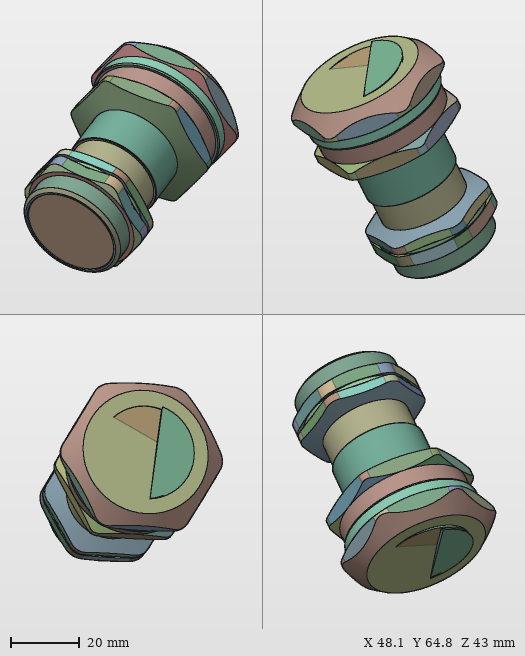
import cadquery as cq
import math


chamfer_end_y = 1.0
locknut_y = 6.5
seal_y = 10.0
locknut_dish_y = 10.45
sealing_nut_y = 12.0
nut_neck_y = 16.5
sleeve_y = 25.6
body_cone_y = 38.5
body_hex_end_y = 45.45
collar_y = 51.2
dome_nut_y = 54.75
dome_end_y = 63.0

thread_dia = 32.0
thread_tip_dia = 29.8
bore_mouth_dia = 28.6
bore_floor_dia = 28.2
bore_depth = 0.3
neck_dia = 27.0
sleeve_dia = 28.6
body_dia = 40.0
collar_dia = 42.0
seal_dia = 34.4
dome_end_dia = 37.2
seal_rounding = 0.6
sleeve_chamfer = 0.2
collar_chamfer_length = 0.55
collar_chamfer_depth = 0.25

small_hex_flats = 35.0
locknut_rounding = 5.3
sealing_nut_rounding = 5.0
locknut_face_dia = 34.8
body_hex_flats = 40.0
body_hex_rounding = 3.0
dome_hex_flats = 43.0
dome_hex_rounding = 5.0

shallow_slope = math.tan(math.radians(20))
nut_slope = math.tan(math.radians(30))
dome_slope = math.tan(math.radians(45))

flap_rim_radius = 14.2
flap_root_radius = 13.0
flap_height = 1.2
flap_base_radius = 13.7
flap_base_depth = 1.0
flap_centre_y = 63.92
flap_tilt_x = -3.25
flap_tilt_z = -1.7
flap_cut_x = -3.0
flap_cut_angle = 7.0


def cylinder(dia, y_start, y_end):
    """Solid cylinder on the Y axis."""
    length = y_end - y_start
    return cq.Workplane("XZ", origin=(0, y_start, 0)).circle(dia / 2).extrude(-length)


def revolved(profile):
    """Revolve (radius, y) points about the Y axis."""
    return cq.Workplane("XY").polyline(profile).close().revolve(360, (0, 0, 0), (0, 1, 0))


def corner_radius(flats, rounding):
    """Radius that the rounded corners of a hexagon reach."""
    return (flats / 2 - rounding) / math.cos(math.radians(30)) + rounding


def hexagon(flats, rounding, y_start, y_end):
    """Hexagonal prism with rounded corners and two flats facing +Z and -Z."""
    prism = cq.Workplane("XZ", origin=(0, y_start, 0)).polygon(6, flats, circumscribed=True)
    prism = prism.extrude(y_start - y_end).edges("|Y").fillet(rounding)
    return prism.rotate((0, 0, 0), (0, 1, 0), 30)


def cone_ended_hexagon(flats, rounding, y_start, y_end, start_cone, end_cone):
    """Hexagon trimmed at each end by a cone, given as (radius at the end face, slope).

    A slope of zero leaves the end flat; a negative slope makes it dished.
    """
    corner = corner_radius(flats, rounding)
    start_radius, start_slope = start_cone
    end_radius, end_slope = end_cone
    start_corner_y = y_start + (corner - start_radius) * start_slope
    end_corner_y = y_end - (corner - end_radius) * end_slope
    envelope = revolved([
        (0, y_start),
        (start_radius, y_start),
        (corner, start_corner_y),
        (corner, end_corner_y),
        (end_radius, y_end),
        (0, y_end),
    ])
    prism = hexagon(flats, rounding, min(y_start, start_corner_y), max(y_end, end_corner_y))
    return prism.intersect(envelope)


def threaded_end():
    tip = revolved([
        (0, 0),
        (thread_tip_dia / 2, 0),
        (thread_dia / 2, chamfer_end_y),
        (thread_dia / 2, sealing_nut_y),
        (0, sealing_nut_y),
    ])
    bore = revolved([
        (0, 0),
        (bore_mouth_dia / 2, 0),
        (bore_floor_dia / 2, bore_depth),
        (0, bore_depth),
    ])
    return tip.cut(bore)


def locknut():
    return cone_ended_hexagon(
        small_hex_flats, locknut_rounding, locknut_y, locknut_dish_y,
        (locknut_face_dia / 2, nut_slope), (seal_dia / 2, -shallow_slope),
    )


def seal_ring():
    ring = cylinder(seal_dia, seal_y, sealing_nut_y)
    return ring.faces("<Y").edges().fillet(seal_rounding)


def sealing_nut():
    flat_end = (small_hex_flats / 2, 0)
    return cone_ended_hexagon(
        small_hex_flats, sealing_nut_rounding, sealing_nut_y, nut_neck_y,
        flat_end, (neck_dia / 2, shallow_slope),
    )


def body():
    neck = cylinder(neck_dia, nut_neck_y, sleeve_y)
    sleeve = cylinder(sleeve_dia, sleeve_y, body_cone_y).faces("<Y").chamfer(sleeve_chamfer)
    hex_section = cone_ended_hexagon(
        body_hex_flats, body_hex_rounding, body_cone_y, body_hex_end_y,
        (sleeve_dia / 2, shallow_slope), (body_dia / 2, nut_slope),
    )
    barrel = cylinder(body_dia, body_hex_end_y, collar_y)
    return neck.union(sleeve).union(hex_section).union(barrel)


def dome_nut():
    collar_radius = collar_dia / 2
    collar = revolved([
        (0, collar_y),
        (collar_radius - collar_chamfer_depth, collar_y),
        (collar_radius, collar_y + collar_chamfer_length),
        (collar_radius, dome_nut_y),
        (0, dome_nut_y),
    ])
    dome = cone_ended_hexagon(
        dome_hex_flats, dome_hex_rounding, dome_nut_y, dome_end_y,
        (collar_radius, nut_slope), (dome_end_dia / 2, dome_slope),
    )
    return collar.union(dome)


def tilted_flap():
    """Flared segment, cut along a chord, standing on a thin disc sunk into the end face."""
    root_y = flap_centre_y - flap_height
    flare = revolved([
        (0, root_y),
        (flap_root_radius, root_y),
        (flap_rim_radius, flap_centre_y),
        (0, flap_centre_y),
    ])
    reach = 2 * flap_rim_radius
    lean = reach * math.tan(math.radians(flap_cut_angle))
    segment_area = cq.Workplane("XZ", origin=(0, root_y, 0)).polyline([
        (-reach, -reach),
        (flap_cut_x + lean, -reach),
        (flap_cut_x - lean, reach),
        (-reach, reach),
    ]).close().extrude(-flap_height)
    base = cylinder(2 * flap_base_radius, root_y - flap_base_depth, root_y)
    flap = flare.intersect(segment_area).union(base)
    centre = (0, flap_centre_y, 0)
    flap = flap.rotate(centre, (1, flap_centre_y, 0), flap_tilt_x)
    return flap.rotate(centre, (0, flap_centre_y, 1), flap_tilt_z)


result = threaded_end()
for section in (locknut(), seal_ring(), sealing_nut(), body(), dome_nut(), tilted_flap()):
    result = result.union(section)